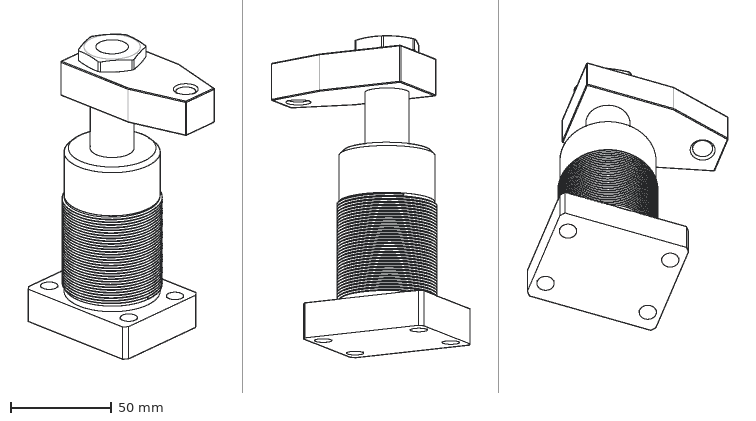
import cadquery as cq
import math


overall_height = 153.0

base_length = 68.0
base_width = 54.0
base_height = 17.9
base_corner_radius = 41.9
bolt_spacing_x = 54.0
bolt_spacing_y = 34.0
bolt_hole_diameter = 8.5

barrel_radius = 24.0
barrel_top = 97.0
barrel_chamfer = 2.1

thread_bottom = 21.0
thread_top = 71.0
thread_pitch = 1.5
thread_height = 1.0
thread_root_step = 0.08
thread_flank_half_angle = 30.0
thread_embed = 0.05

rod_radius = 11.0
stud_radius = 8.1

arm_bottom = 127.0
arm_thickness = 19.0
arm_back = 17.7
arm_taper_start = 28.2
arm_tip = 60.0
arm_width = 38.0
arm_tip_width = 21.1
arm_chamfer = 0.5
arm_hole_x = 50.0
arm_hole_diameter = 10.0
arm_hole_chamfer = 1.2

nut_across_flats = 30.0
nut_corner_radius = 17.0
nut_face_radius = 14.0
nut_chamfer_angle = 15.0
nut_rotation = -9.5

thread_length = thread_top - thread_bottom
thread_root_radius = barrel_radius - thread_root_step
thread_crest_radius = barrel_radius + thread_height
thread_crest_flat = thread_pitch / 8
arm_top = arm_bottom + arm_thickness
nut_height = overall_height - arm_top


def cylinder(radius, bottom, top):
    return cq.Workplane("XY").workplane(offset=bottom).circle(radius).extrude(top - bottom)


def make_base():
    """Rectangular foot with corners rounded by a circle about the cylinder axis, and four bolt holes."""
    block = cq.Workplane("XY").rect(base_length, base_width).extrude(base_height)
    block = block.intersect(cylinder(base_corner_radius, 0, base_height))
    return (
        block.faces(">Z").workplane(origin=(0, 0, base_height))
        .rect(bolt_spacing_x, bolt_spacing_y, forConstruction=True)
        .vertices()
        .hole(bolt_hole_diameter)
    )


def make_thread_ridge():
    """Flat-crested ridge wound as a right-handed helix, its foot sunk slightly into the thread root."""
    foot_radius = thread_root_radius - thread_embed
    half_crest = thread_crest_flat / 2
    flank_rise = (thread_crest_radius - foot_radius) * math.tan(math.radians(thread_flank_half_angle))
    half_foot = half_crest + flank_rise
    start = thread_bottom + half_foot
    helix = cq.Wire.makeHelix(
        thread_pitch, thread_length - 2 * half_foot, foot_radius, center=cq.Vector(0, 0, start)
    )
    profile = (
        cq.Workplane("XZ")
        .moveTo(foot_radius, start - half_foot)
        .lineTo(thread_crest_radius, start - half_crest)
        .lineTo(thread_crest_radius, start + half_crest)
        .lineTo(foot_radius, start + half_foot)
        .close()
    )
    return profile.sweep(cq.Workplane(obj=helix), isFrenet=True)


def make_cylinder_body():
    """Foot, threaded barrel, rod and stud; the arm rests on the shoulder between rod and stud."""
    barrel = cylinder(barrel_radius, base_height, barrel_top).faces(">Z").chamfer(barrel_chamfer)
    thread_relief = (
        cq.Workplane("XY").workplane(offset=thread_bottom)
        .circle(barrel_radius)
        .circle(thread_root_radius)
        .extrude(thread_length)
    )
    body = make_base().union(barrel).cut(thread_relief)
    body = body.union(cylinder(rod_radius, barrel_top, arm_bottom))
    body = body.union(cylinder(stud_radius, arm_bottom, overall_height))
    return body.union(make_thread_ridge())


def make_arm():
    """Clamp arm: parallel at the rod, tapering to the tip, with a chamfered screw hole."""
    arm = (
        cq.Workplane("XY").workplane(offset=arm_bottom)
        .moveTo(-arm_back, -arm_width / 2)
        .lineTo(arm_taper_start, -arm_width / 2)
        .lineTo(arm_tip, -arm_tip_width / 2)
        .lineTo(arm_tip, arm_tip_width / 2)
        .lineTo(arm_taper_start, arm_width / 2)
        .lineTo(-arm_back, arm_width / 2)
        .close()
        .extrude(arm_thickness)
    )
    arm = arm.faces("<X or >X or <Z or >Z").edges().chamfer(arm_chamfer)
    screw_hole = cylinder(arm_hole_diameter / 2, arm_bottom, arm_top)
    mouth_radius = arm_hole_diameter / 2 + arm_hole_chamfer
    for face_z, inward in ((arm_bottom, 1), (arm_top, -1)):
        cone = cq.Solid.makeCone(
            mouth_radius, mouth_radius - arm_hole_chamfer, arm_hole_chamfer,
            pnt=cq.Vector(0, 0, face_z), dir=cq.Vector(0, 0, inward),
        )
        screw_hole = screw_hole.union(cq.Workplane(obj=cone))
    arm = arm.cut(screw_hole.translate((arm_hole_x, 0, 0)))
    return arm.cut(cylinder(stud_radius, arm_bottom, arm_top))


def make_nut():
    """Hexagon nut with both faces coned and its six corners turned off to a cylinder."""
    across_corners = nut_across_flats * 2 / math.sqrt(3)
    hexagon = (
        cq.Workplane("XY").polygon(6, across_corners).extrude(nut_height)
        .rotate((0, 0, 0), (0, 0, 1), nut_rotation)
        .translate((0, 0, arm_top))
    )
    cone_drop = (nut_corner_radius - nut_face_radius) * math.tan(math.radians(nut_chamfer_angle))
    envelope = (
        cq.Workplane("XZ")
        .moveTo(0, arm_top)
        .lineTo(nut_face_radius, arm_top)
        .lineTo(nut_corner_radius, arm_top + cone_drop)
        .lineTo(nut_corner_radius, overall_height - cone_drop)
        .lineTo(nut_face_radius, overall_height)
        .lineTo(0, overall_height)
        .close()
        .revolve(360, (0, 0, 0), (0, 1, 0))
    )
    return hexagon.intersect(envelope).cut(cylinder(stud_radius, arm_top, overall_height))


cylinder_body = make_cylinder_body()
arm = make_arm()
nut = make_nut()

result = cq.Compound.makeCompound([cylinder_body.val(), arm.val(), nut.val()])